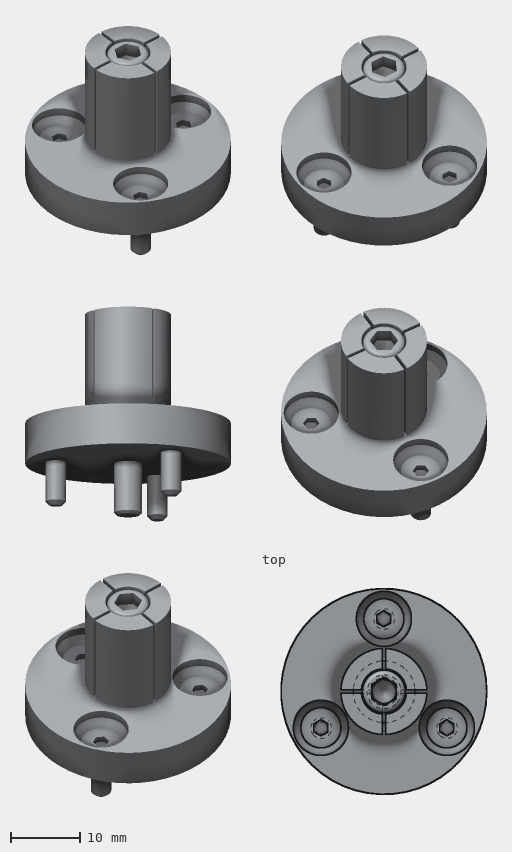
import cadquery as cq
import math

flange_diameter = 29.72
flange_thickness = 5.88
post_diameter = 12.42
post_top = 21.87
groove_width = 0.98
groove_floor_diameter = 8.92
slot_width = 0.5

taper_mouth_diameter = 6.55
taper_half_angle = 11.0

center_head_flat_diameter = 4.6
center_head_height = 4.15
center_neck_fillet = 0.3
center_shank_diameter = 4.05
center_tip_drop = 7.58
center_tip_chamfer = 0.35
center_hex_size = 3.55
center_hex_depth = 2.08
center_hex_cone_depth = 1.0

screw_count = 3
screw_circle_radius = 10.5
first_screw_angle = 90.0
recess_diameter = 7.96
recess_depth = 1.28
screw_head_diameter = 5.8
screw_shank_diameter = 2.97
screw_tip_drop = 6.4
screw_tip_chamfer = 0.6
screw_hex_size = 2.02
screw_hex_depth = 1.0

groove_radius = groove_width / 2
groove_floor_radius = groove_floor_diameter / 2
groove_middle = flange_thickness + groove_radius
post_bottom = flange_thickness + groove_width
taper_mouth_radius = taper_mouth_diameter / 2
taper_slope = math.tan(math.radians(taper_half_angle))
center_shank_radius = center_shank_diameter / 2
center_head_bottom = post_top - center_head_height
center_head_bottom_radius = taper_mouth_radius - center_head_height * taper_slope
screw_head_top = flange_thickness - recess_depth - (recess_diameter - screw_head_diameter) / 2
screw_head_bottom = screw_head_top - (screw_head_diameter - screw_shank_diameter) / 2
recess_cone_top = flange_thickness - recess_depth

screw_places = [
    (
        screw_circle_radius * math.cos(math.radians(first_screw_angle + i * 360 / screw_count)),
        screw_circle_radius * math.sin(math.radians(first_screw_angle + i * 360 / screw_count)),
    )
    for i in range(screw_count)
]


def revolve_about_z(profile):
    """Turn a closed outline, drawn as radius and height, around the Z axis."""
    return profile.close().revolve(360, (0, 0, 0), (0, 1, 0))


def hex_socket(across_flats, top, depth):
    """Hexagonal prism with two flats facing +X and -X, reaching down from the given height."""
    across_corners = across_flats / math.cos(math.radians(30))
    hexagon = cq.Workplane("XY").polygon(6, across_corners).extrude(depth)
    return hexagon.rotate((0, 0, 0), (0, 0, 1), 30).translate((0, 0, top - depth))


def make_post_flange():
    """Flange and post joined by a round-bottomed neck groove."""
    outline = (
        cq.Workplane("XZ")
        .lineTo(flange_diameter / 2, 0)
        .lineTo(flange_diameter / 2, flange_thickness)
        .lineTo(groove_floor_radius + groove_radius, flange_thickness)
        .threePointArc(
            (groove_floor_radius, groove_middle),
            (groove_floor_radius + groove_radius, post_bottom),
        )
        .lineTo(post_diameter / 2, post_bottom)
        .lineTo(post_diameter / 2, post_top)
        .lineTo(0, post_top)
    )
    body = revolve_about_z(outline)
    return body.cut(center_bore()).cut(cross_slots()).cut(screw_recesses())


def center_bore():
    """Through hole for the shank that flares into a taper up to the top of the post."""
    taper_height = (taper_mouth_radius - center_shank_radius) / taper_slope
    outline = (
        cq.Workplane("XZ")
        .lineTo(center_shank_radius, 0)
        .lineTo(center_shank_radius, post_top - taper_height)
        .lineTo(taper_mouth_radius, post_top)
        .lineTo(0, post_top)
    )
    return revolve_about_z(outline)


def cross_slots():
    """Two crossed slots that split the post into four leaves down to the middle of the groove."""
    slot_height = post_top - groove_middle
    slot = cq.Workplane("XY", origin=(0, 0, groove_middle)).box(
        post_diameter + slot_width, slot_width, slot_height, centered=(True, True, False)
    )
    return slot.union(slot.rotate((0, 0, 0), (0, 0, 1), 90))


def screw_recesses():
    """Countersunk through holes with a straight-sided mouth."""
    outline = (
        cq.Workplane("XZ")
        .lineTo(screw_shank_diameter / 2, 0)
        .lineTo(screw_shank_diameter / 2, screw_head_bottom)
        .lineTo(recess_diameter / 2, recess_cone_top)
        .lineTo(recess_diameter / 2, flange_thickness)
        .lineTo(0, flange_thickness)
    )
    recess = revolve_about_z(outline)
    recesses = cq.Workplane("XY")
    for x, y in screw_places:
        recesses = recesses.add(recess.translate((x, y, 0)))
    return recesses.combine()


def make_center_screw():
    """Socket screw on the post axis, its tapered head bearing on the tapered bore."""
    flat_radius = center_head_flat_diameter / 2
    rim_run = taper_mouth_radius - flat_radius
    taper_angle = math.radians(taper_half_angle)
    rim_end = (
        taper_mouth_radius - rim_run * math.sin(taper_angle),
        post_top - rim_run * math.cos(taper_angle),
    )
    neck_end = (center_shank_radius, center_head_bottom - center_neck_fillet)
    outline = (
        cq.Workplane("XZ")
        .moveTo(0, -center_tip_drop)
        .lineTo(center_shank_radius - center_tip_chamfer, -center_tip_drop)
        .lineTo(center_shank_radius, -center_tip_drop + center_tip_chamfer)
        .lineTo(*neck_end)
        .tangentArcPoint((center_shank_radius + center_neck_fillet, center_head_bottom), relative=False)
        .lineTo(center_head_bottom_radius, center_head_bottom)
        .lineTo(*rim_end)
        .tangentArcPoint((flat_radius, post_top), relative=False)
        .lineTo(0, post_top)
    )
    socket_floor = post_top - center_hex_depth
    cone = revolve_about_z(
        cq.Workplane("XZ")
        .moveTo(0, socket_floor)
        .lineTo(center_hex_size / 2, socket_floor)
        .lineTo(0, socket_floor - center_hex_cone_depth)
    )
    socket = hex_socket(center_hex_size, post_top, center_hex_depth)
    return revolve_about_z(outline).cut(socket).cut(cone)


def make_flange_screw(x, y):
    """Countersunk socket screw standing at the given place in the flange."""
    shank_radius = screw_shank_diameter / 2
    outline = (
        cq.Workplane("XZ")
        .moveTo(0, -screw_tip_drop)
        .lineTo(shank_radius - screw_tip_chamfer, -screw_tip_drop)
        .lineTo(shank_radius, -screw_tip_drop + screw_tip_chamfer)
        .lineTo(shank_radius, screw_head_bottom)
        .lineTo(screw_head_diameter / 2, screw_head_top)
        .lineTo(0, screw_head_top)
    )
    screw = revolve_about_z(outline).cut(hex_socket(screw_hex_size, screw_head_top, screw_hex_depth))
    return screw.translate((x, y, 0))


post_flange = make_post_flange()
center_screw = make_center_screw()
flange_screws = [make_flange_screw(x, y) for x, y in screw_places]

result = cq.Compound.makeCompound(
    [post_flange.val(), center_screw.val(), *[screw.val() for screw in flange_screws]]
)